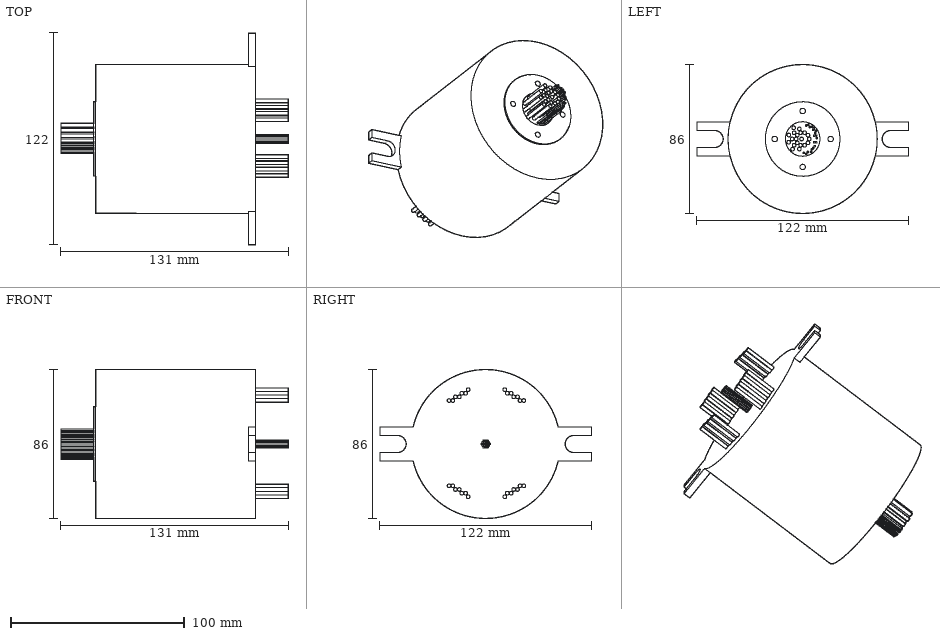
import cadquery as cq
import math

overall_length = 131.0
lead_length = 18.9
flange_thickness = 1.2
body_diameter = 86.0
flange_diameter = body_diameter / 2
cable_bore_diameter = 19.9

lug_span = 122.0
lug_width = 19.8
lug_thickness = 4.2
slot_width = 9.7
slot_floor = 45.8

screw_circle_radius = 16.1
screw_hole_diameter = 3.1
screw_hole_depth = 5.2
drill_tip_angle = 118.0
screw_count = 4

thick_lead = 2.1
thin_lead = 0.9
embed = 1.3

core_lead_y = 0.7
ring_pitch = 2.29
inner_ring_radius = 3.8
middle_ring_radius = inner_ring_radius + ring_pitch
outer_ring_radius = 8.3
ring_step = 36
thick_rings = [
    (inner_ring_radius, range(0, 360, ring_step)),
    (middle_ring_radius, range(-2 * ring_step, 3 * ring_step, ring_step)),
    (outer_ring_radius, [-45, -13, 16, 51]),
]

thin_rings = [
    (7.0, [-16, 16]),
    (8.05, [-86, -68, -48, -40, -31, -14, 4, 14, 25, 42, 59, 75]),
    (8.84, [-76, -57, 32, 43, 52, 68]),
]

row_count = 4
row_step_y = 3.7
row_step_z = 2.1
row_inset = 2.2
left_row_y = 22.0
right_row_y = 21.1
upper_row_z = 25.0
lower_row_z = 24.1

bundle_pitch = 1.11
bundle_rings = 2

flange_front = lead_length
body_front = flange_front + flange_thickness
body_rear = overall_length - lead_length


def cylinder_x(x_start, x_end, diameter):
    """Cylinder on the X axis."""
    return cq.Workplane("YZ", origin=(x_start, 0, 0)).circle(diameter / 2).extrude(x_end - x_start)


def leads(points, diameter, x_start, x_end):
    """Round leads along X at the given (y, z) points."""
    plane = cq.Workplane("YZ", origin=(x_start, 0, 0))
    return plane.pushPoints(points).circle(diameter / 2).extrude(x_end - x_start)


def ring_points(rings, side):
    """Polar (y, z) points; side is +1 for rings about +Y and -1 for rings about -Y."""
    return [
        (side * radius * math.cos(math.radians(angle)), radius * math.sin(math.radians(angle)))
        for radius, angles in rings
        for angle in angles
    ]


def double_row(side_y, start_y, side_z, start_z):
    """Slanted row of leads, with a second row filling the gaps on its inner side."""
    points = []
    for index in range(row_count):
        y = start_y - index * row_step_y
        z = side_z * (start_z + index * row_step_z)
        points.append((side_y * y, z))
        if index < row_count - 1:
            points.append((side_y * (y - row_inset), z))
    return points


def hexagonal_bundle():
    """Close-packed points with rows along Y."""
    points = []
    for row in range(-bundle_rings, bundle_rings + 1):
        count = 2 * bundle_rings + 1 - abs(row)
        for index in range(count):
            y = (index - (count - 1) / 2) * bundle_pitch
            points.append((y, row * bundle_pitch * math.sin(math.radians(60))))
    return points


def lug_plate():
    """Bar through the rear of the body whose ends are lugs with open, round-bottomed slots."""
    plane = cq.Workplane("YZ", origin=(body_rear - lug_thickness, 0, 0))
    plate = plane.rect(lug_span, lug_width).extrude(lug_thickness)
    slot_length = lug_span - 2 * slot_floor
    for side in (-1, 1):
        slot = plane.center(side * lug_span / 2, 0).slot2D(slot_length, slot_width).extrude(lug_thickness)
        plate = plate.cut(slot)
    return plate


def screw_hole():
    """Drilled hole along X, starting at the flange face above the body axis."""
    radius = screw_hole_diameter / 2
    tip = radius / math.tan(math.radians(drill_tip_angle / 2))
    profile = [(0, 0), (screw_hole_depth + tip, 0), (screw_hole_depth, radius), (0, radius)]
    drill = cq.Workplane("XY").polyline(profile).close().revolve(360, (0, 0, 0), (1, 0, 0))
    return drill.translate((flange_front, 0, screw_circle_radius))


result = cylinder_x(body_front, body_rear, body_diameter)
flange = cylinder_x(flange_front, body_front, flange_diameter)
flange = flange.cut(cylinder_x(flange_front, body_front, cable_bore_diameter))
result = result.union(flange)
result = result.union(lug_plate())
for index in range(screw_count):
    turn = index * 360 / screw_count
    result = result.cut(screw_hole().rotate((0, 0, 0), (1, 0, 0), turn))

front_thick = [(core_lead_y, 0)] + ring_points(thick_rings, 1)
front_thin = ring_points(thin_rings, -1)
result = result.union(leads(front_thick, thick_lead, 0, body_front + embed))
result = result.union(leads(front_thin, thin_lead, 0, body_front + embed))

rear_thick = []
for side_z, start_z in ((1, upper_row_z), (-1, lower_row_z)):
    rear_thick += double_row(1, left_row_y, side_z, start_z)
    rear_thick += double_row(-1, right_row_y, side_z, start_z)
result = result.union(leads(rear_thick, thick_lead, body_rear - embed, overall_length))
result = result.union(leads(hexagonal_bundle(), thin_lead, body_rear - embed, overall_length))